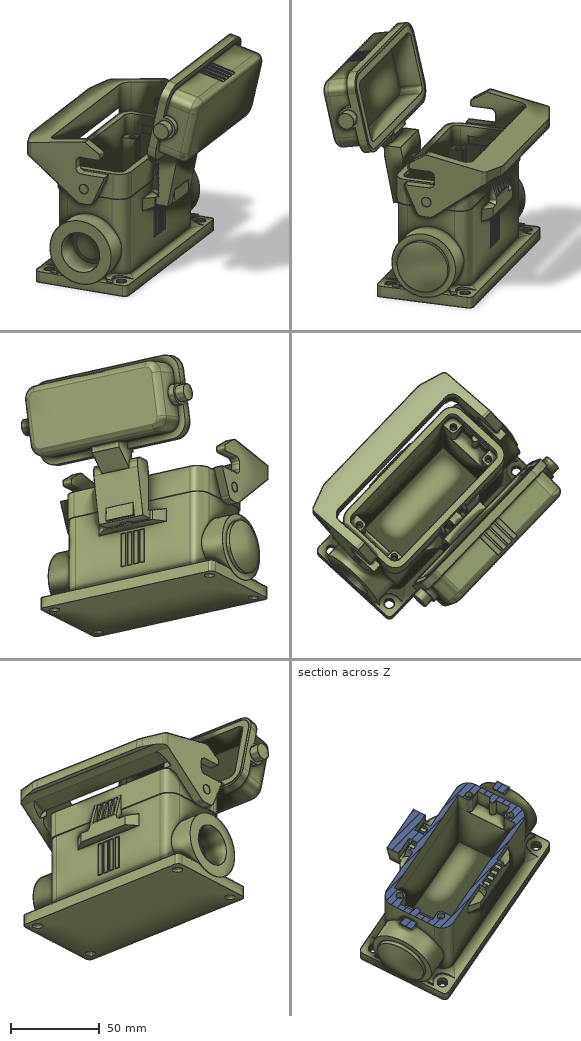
import cadquery as cq
import math


BASE_X, BASE_Y, BASE_H = 57.2, 116.9, 6.5
BASE_CORNER = 2.8
MOUNT_X, MOUNT_Y, MOUNT_R = 22.4, 52.3, 2.9
SPOTFACE_R = 5.5
RAMP_RISE, RAMP_RUN = 1.5, 7.6
RAMP_FOOT_Y, RAMP_EDGE_X, RAMP_END_Y = 38.3, 27.0, 56.7

BODY_X, BODY_Y = 43.5, 92.9
COLLAR_X, COLLAR_Y = 44.7, 93.6
BODY_CORNER = 7.8
COLLAR_Z, BODY_TOP = 52.6, 67.8
MOUTH_X, MOUTH_Y, MOUTH_CORNER = 37.0, 86.0, 4.3
LEDGE_Z, FLOOR_Z = 38.0, 3.8
LEDGE_Y = 35.4
CHAMBER_DRAFT = 2.0
POST_X, POST_TOP, POST_ROUND = 10.4, 55.7, 2.3
SCREW_X, SCREW_Y, SCREW_R, SCREW_DEPTH = 13.4, 38.6, 1.9, 10.1
RECESS_X, RECESS_Z, RECESS_H, RECESS_DEPTH = 19.2, 56.9, 5.0, 1.5
PEG_R, PEG_Y, PEG_TOP = 2.0, 42.4, 55.7

ENTRY_END, ENTRY_Z, ENTRY_R = 58.7, 22.3, 19.0
BORE_R, BORE_DEPTH = 11.9, 15.2
KNOCKOUT_R, KNOCKOUT_H = 9.1, 1.3
PLUG_R, PLUG_H, PLUG_TOTAL = 15.0, 2.2, 5.0

ROOT_OVERLAP = 1.3
GRIP_OUT = 26.3
GRIP_BAR_ROOT, GRIP_BAR_TIP = 22.8, 16.3
GRIP_BOTTOM, GRIP_TOP, GRIP_LIP_DROP = 38.3, 45.9, 1.0
WEDGE_HALF, WEDGE_BOTTOM, WEDGE_TOP, WEDGE_FLARE = 9.9, 48.1, 61.9, 2.8
SLOT_PITCH, SLOT_W, SLOT_COUNT = 4.2, 2.9, 4
GRIP_SLOT_Z, GRIP_SLOT_TOP = 48.8, 61.0
BODY_SLOT_Z, BODY_SLOT_H = 17.2, 19.6
SLOT_DEPTH = 0.5

ARM_OUT, ARM_IN = 54.5, 49.0
PIN_Z, PIN_R = 59.0, 2.8
PIN_RECESS = 0.3
LEVER_FRONT = -40.2
LEVER_TOE_X = 12.9
LEVER_BRIDGE_IN = -24.3
LEVER_BEVEL_X, LEVER_BEVEL_Y = 5.3, 15.3
LEVER_BOTTOM, LEVER_PEAK = 50.1, 87.3
LEVER_BEND = (-32.9, 72.9)
LEVER_BRIDGE_UNDER = 69.7
HEEL_BACK_X, HEEL_FRONT_X, HEEL_ROUND = -3.3, 4.8, 3.8
THROAT_X, THROAT_TOP, THROAT_ROUND = -4.8, 77.8, 3.3
HOOK_X, HOOK_TIP_TOP, HOOK_ROUND = 10.1, 81.2, 1.1
BEVEL_ROUND, LEVER_SIDE_ROUND = 11.4, 2.5
WINDOW_ROUND, RELIEF_ROUND = 5.0, 3.8

HINGE_W, LEAF_W, RIB_W = 29.6, 18.2, 6.6
HINGE_X = 27.8
RIB_TOP = 64.3
HINGE_BOTTOM, HINGE_TOP, HINGE_BACK_X, HINGE_ROUND = 40.1, 73.6, 39.0, 2.4
COVER_TILT = math.radians(12.8)
COVER_X = 40.6
FLANGE_Y, FLANGE_W, FLANGE_T, FLANGE_CORNER = 97.9, 47.8, 5.0, 9.6
CAP_INSET, CAP_DEPTH, CAP_CORNER, CAP_EDGE = 3.8, 22.1, 7.6, 3.8
POCKET_Y, POCKET_W, POCKET_CORNER, POCKET_DEPTH = 86.3, 36.2, 4.0, 13.3
SEAL_INSET, SEAL_H = 1.5, 0.3
STUD_U, STUD_R, STUD_BOSS_R = 7.5, 4.7, 6.1
COVER_SLOT_START, COVER_SLOT_END = 5.5, 20.9
TOTAL_H = 126.5


def box(x0, x1, y0, y1, z0, z1):
    return cq.Workplane("XY").box(x1 - x0, y1 - y0, z1 - z0, centered=False).translate((x0, y0, z0))


def rounded_block(size_x, size_y, z0, z1, radius):
    block = cq.Workplane("XY", origin=(0, 0, z0)).rect(size_x, size_y).extrude(z1 - z0)
    return block.edges("|Z").fillet(radius)


def side_profile(points, y0, y1):
    """Extrude an XZ outline from y0 to y1."""
    return cq.Workplane("XZ", origin=(0, y0, 0)).polyline(points).close().extrude(y0 - y1)


def y_cylinder(x, z, radius, y0, y1):
    return cq.Workplane("XZ", origin=(x, y0, z)).circle(radius).extrude(y0 - y1)


def on_both_sides(solid, plane):
    return solid.union(solid.mirror(plane))


def on_four_corners(solid):
    return on_both_sides(on_both_sides(solid, "YZ"), "XZ")


def fillet_across(solid, x0, x1, z0, z1, radius):
    """Round the full-width Y edges whose X and Z lie in the given ranges."""
    margin = 0.06
    ranges = cq.selectors.BoxSelector((x0 - margin, -margin, z0 - margin), (x1 + margin, margin, z1 + margin))
    return solid.edges("|Y").edges(ranges).fillet(radius)


def slot_centres():
    return [(i - (SLOT_COUNT - 1) / 2) * SLOT_PITCH for i in range(SLOT_COUNT)]


def make_base():
    plate = rounded_block(BASE_X, BASE_Y, 0, BASE_H, BASE_CORNER)
    foot = (BODY_X / 2, RAMP_FOOT_Y)
    edge = (RAMP_EDGE_X, BODY_Y / 2)
    angle = math.atan2(edge[1] - foot[1], edge[0] - foot[0])
    along = (math.cos(angle), math.sin(angle), 0)
    inward = (-along[1], along[0], 0)
    ramp = (
        cq.Workplane(cq.Plane(origin=(*foot, BASE_H), xDir=inward, normal=along))
        .polyline([(0, 0), (RAMP_RUN, RAMP_RISE), (2 * RAMP_RUN, RAMP_RISE), (2 * RAMP_RUN, 0)])
        .close()
        .extrude(BODY_Y)
        .intersect(box(0, BASE_X / 2, 0, RAMP_END_Y, 0, TOTAL_H))
    )
    spotface = cq.Workplane("XY", origin=(MOUNT_X, MOUNT_Y, BASE_H)).circle(SPOTFACE_R).extrude(RAMP_RISE)
    corner_flat = box(MOUNT_X, BASE_X / 2, BODY_Y / 2, BASE_Y / 2, BASE_H, BASE_H + RAMP_RISE)
    return plate.union(on_four_corners(ramp.cut(spotface).cut(corner_flat)))


def make_body():
    lower = rounded_block(BODY_X, BODY_Y, 0, COLLAR_Z, BODY_CORNER)
    collar = rounded_block(COLLAR_X, COLLAR_Y, COLLAR_Z, BODY_TOP, BODY_CORNER)
    return lower.union(collar)


def make_entries():
    barrel = y_cylinder(0, ENTRY_Z, ENTRY_R, BODY_Y / 2 - BODY_CORNER, ENTRY_END)
    rim_y = ENTRY_END + PLUG_H
    crown_y = ENTRY_END + PLUG_TOTAL
    rise = crown_y - rim_y
    dome_r = (PLUG_R**2 + rise**2) / (2 * rise)
    half_angle = math.asin(PLUG_R / dome_r) / 2
    mid_point = (dome_r * math.sin(half_angle), crown_y - dome_r * (1 - math.cos(half_angle)))
    plug = (
        cq.Workplane("XY", origin=(0, 0, ENTRY_Z))
        .moveTo(0, LEDGE_Y + BODY_CORNER)
        .lineTo(PLUG_R, LEDGE_Y + BODY_CORNER)
        .lineTo(PLUG_R, rim_y)
        .threePointArc(mid_point, (0, crown_y))
        .close()
        .revolve(360, (0, 0, 0), (0, 1, 0))
    )
    return on_both_sides(barrel, "XZ").union(plug)


def make_entry_bore():
    """Blind bore in the -Y entry, with a raised knockout disc on its bottom."""
    mouth_y = -ENTRY_END
    bottom_y = mouth_y + BORE_DEPTH
    bore = y_cylinder(0, ENTRY_Z, BORE_R, mouth_y, bottom_y)
    return bore.cut(y_cylinder(0, ENTRY_Z, KNOCKOUT_R, bottom_y - KNOCKOUT_H, bottom_y))


def make_cavity():
    mouth = rounded_block(MOUTH_X, MOUTH_Y, LEDGE_Z, BODY_TOP, MOUTH_CORNER)
    chamber = (
        cq.Workplane("XY", origin=(0, 0, LEDGE_Z))
        .rect(MOUTH_X, 2 * LEDGE_Y)
        .extrude(FLOOR_Z - LEDGE_Z, taper=CHAMBER_DRAFT)
    )
    post = box(POST_X, MOUTH_X / 2, LEDGE_Y, MOUTH_Y / 2, LEDGE_Z, POST_TOP)
    post = post.edges("|Z and <X and <Y").fillet(POST_ROUND)
    screw = cq.Workplane("XY", origin=(SCREW_X, SCREW_Y, POST_TOP)).circle(SCREW_R).extrude(-SCREW_DEPTH)
    recess_end = MOUTH_Y / 2 + RECESS_DEPTH
    recess = box(-RECESS_X / 2, RECESS_X / 2, -recess_end, recess_end, RECESS_Z, RECESS_Z + RECESS_H)
    peg = cq.Workplane("XY", origin=(0, PEG_Y, LEDGE_Z)).circle(PEG_R).extrude(PEG_TOP - LEDGE_Z)
    mouth = mouth.cut(on_four_corners(post)).cut(on_both_sides(peg, "XZ"))
    return mouth.union(chamber).union(on_four_corners(screw)).union(recess)


def make_grip():
    """Finger grip on the +X wall: a tapered bar with a slotted wedge above it."""
    root = BODY_X / 2 - ROOT_OVERLAP
    bar_plan = (
        cq.Workplane("XY")
        .polyline([
            (root, -GRIP_BAR_ROOT), (BODY_X / 2, -GRIP_BAR_ROOT), (GRIP_OUT, -GRIP_BAR_TIP),
            (GRIP_OUT, GRIP_BAR_TIP), (BODY_X / 2, GRIP_BAR_ROOT), (root, GRIP_BAR_ROOT),
        ])
        .close()
        .extrude(TOTAL_H)
    )
    bar_side = side_profile(
        [
            (root, GRIP_BOTTOM), (BODY_X / 2, GRIP_BOTTOM), (GRIP_OUT, GRIP_BOTTOM + GRIP_LIP_DROP),
            (GRIP_OUT, GRIP_TOP - GRIP_LIP_DROP), (BODY_X / 2, GRIP_TOP), (root, GRIP_TOP),
        ],
        -GRIP_BAR_ROOT, GRIP_BAR_ROOT,
    )
    flare_z = GRIP_TOP - GRIP_LIP_DROP
    flare_mid = WEDGE_FLARE * (1 - math.sqrt(0.5))
    flare_half = WEDGE_HALF + WEDGE_FLARE
    wedge_front = (
        cq.Workplane("YZ", origin=(root, 0, 0))
        .moveTo(-flare_half, flare_z)
        .threePointArc((-WEDGE_HALF - flare_mid, flare_z + flare_mid), (-WEDGE_HALF, flare_z + WEDGE_FLARE))
        .lineTo(-WEDGE_HALF, WEDGE_TOP)
        .lineTo(WEDGE_HALF, WEDGE_TOP)
        .lineTo(WEDGE_HALF, flare_z + WEDGE_FLARE)
        .threePointArc((WEDGE_HALF + flare_mid, flare_z + flare_mid), (flare_half, flare_z))
        .lineTo(flare_half, GRIP_BOTTOM + GRIP_LIP_DROP)
        .lineTo(-flare_half, GRIP_BOTTOM + GRIP_LIP_DROP)
        .close()
        .extrude(GRIP_OUT - root)
    )
    wedge_side = side_profile(
        [(root, GRIP_BOTTOM), (GRIP_OUT, GRIP_BOTTOM), (GRIP_OUT, WEDGE_BOTTOM),
         (COLLAR_X / 2, WEDGE_TOP), (root, WEDGE_TOP)],
        -flare_half, flare_half,
    )
    grip = bar_plan.intersect(bar_side).union(wedge_front.intersect(wedge_side))
    for y in slot_centres():
        grip = grip.cut(
            box(COLLAR_X / 2, GRIP_OUT, y - SLOT_W / 2, y + SLOT_W / 2, GRIP_SLOT_Z, GRIP_SLOT_TOP)
        )
    return grip


def make_body_slots():
    slots = cq.Workplane("XY")
    outer = BODY_X / 2
    for y in slot_centres():
        slots = slots.union(
            box(
                outer - SLOT_DEPTH, outer, y - SLOT_W / 2, y + SLOT_W / 2,
                BODY_SLOT_Z, BODY_SLOT_Z + BODY_SLOT_H,
            )
        )
    return on_both_sides(slots, "YZ")


def make_lever():
    """U-shaped locking lever with a hooked arm at each end, held on pins in the body."""
    outline = [
        (LEVER_FRONT, 80.5), (LEVER_FRONT, 75.2), (-37.2, 75.2), LEVER_BEND,
        (HEEL_BACK_X, LEVER_BOTTOM), (HEEL_FRONT_X, LEVER_BOTTOM), (LEVER_TOE_X, BODY_TOP),
        (THROAT_X, BODY_TOP), (THROAT_X, THROAT_TOP), (HOOK_X, THROAT_TOP), (HOOK_X, HOOK_TIP_TOP),
        (0.6, LEVER_PEAK), (-0.9, LEVER_PEAK),
    ]
    side = side_profile(outline, -ARM_OUT, ARM_OUT)
    side = fillet_across(side, HEEL_BACK_X, HEEL_FRONT_X, LEVER_BOTTOM, LEVER_BOTTOM, HEEL_ROUND)
    side = fillet_across(side, THROAT_X, THROAT_X, BODY_TOP, THROAT_TOP, THROAT_ROUND)
    side = fillet_across(side, HOOK_X, HOOK_X, THROAT_TOP, HOOK_TIP_TOP, HOOK_ROUND)

    plan_end = LEVER_TOE_X + ROOT_OVERLAP
    bevel_x = LEVER_FRONT + LEVER_BEVEL_X
    bevel_y = ARM_OUT - LEVER_BEVEL_Y
    plan = (
        cq.Workplane("XY")
        .polyline([
            (plan_end, -ARM_OUT), (bevel_x, -ARM_OUT), (LEVER_FRONT, -bevel_y),
            (LEVER_FRONT, bevel_y), (bevel_x, ARM_OUT), (plan_end, ARM_OUT),
        ])
        .close()
        .extrude(TOTAL_H)
        .edges("|Z and <X")
        .fillet(BEVEL_ROUND)
        .edges(cq.selectors.BoxSelector((bevel_x - 1.3, -ARM_OUT - 1.3, 0), (bevel_x + 1.3, ARM_OUT + 1.3, TOTAL_H)))
        .fillet(LEVER_SIDE_ROUND)
    )
    window = box(LEVER_BRIDGE_IN, plan_end, -ARM_IN, ARM_IN, 0, TOTAL_H).edges("|Z and <X")
    window = window.fillet(WINDOW_ROUND)
    relief = side_profile(
        [LEVER_BEND, (LEVER_BRIDGE_IN, LEVER_BRIDGE_UNDER), (LEVER_BRIDGE_IN, LEVER_BOTTOM),
         (LEVER_BEND[0], LEVER_BOTTOM)],
        -ARM_IN, ARM_IN,
    ).faces(">Z").edges("not |Y").fillet(RELIEF_ROUND)
    return side.intersect(plan).cut(window).cut(relief)


def make_pin():
    return y_cylinder(0, PIN_Z, PIN_R, MOUTH_Y / 2 + RECESS_DEPTH, ARM_OUT - PIN_RECESS)


def make_hinge():
    block = side_profile(
        [(GRIP_OUT, HINGE_BOTTOM), (33.5, HINGE_BOTTOM), (HINGE_BACK_X, 67.5), (HINGE_BACK_X, HINGE_TOP),
         (29.4, HINGE_TOP), (28.0, 67.7),
         (HINGE_X, GRIP_TOP - GRIP_LIP_DROP), (GRIP_OUT, GRIP_TOP - GRIP_LIP_DROP)],
        -HINGE_W / 2, HINGE_W / 2,
    ).edges("|Y and >Z and >X").fillet(HINGE_ROUND)
    rib = box(
        BODY_X / 2 - ROOT_OVERLAP, HINGE_X + ROOT_OVERLAP, -RIB_W / 2, RIB_W / 2,
        GRIP_BOTTOM + GRIP_LIP_DROP, RIB_TOP,
    )
    return block.union(rib)


def make_leaf():
    """Cover leaf rising out of the hinge block, with its stop lip below."""
    leaf = side_profile(
        [(34.8, 78.5), (36.8, 78.0), (36.5, 72.1), (38.0, 66.8), (39.1, 67.8),
         (49.2, 77.2), (49.8, 81.5), (43.0, 83.0), (36.6, 83.5)],
        -LEAF_W / 2, LEAF_W / 2,
    )
    lip = side_profile([(32.9, 40.9), (35.3, 40.9), (35.2, 48.3), (32.9, 48.3)], -LEAF_W / 2, LEAF_W / 2)
    return leaf.union(lip)


def make_cover():
    outward = (math.cos(COVER_TILT), 0, -math.sin(COVER_TILT))
    mouth_z = TOTAL_H - FLANGE_W / 2 * math.cos(COVER_TILT)
    plane = cq.Plane(origin=(COVER_X, 0, mouth_z), xDir=(0, 1, 0), normal=outward)

    flange = rounded_block(FLANGE_Y, FLANGE_W, 0, FLANGE_T, FLANGE_CORNER)
    cap_y = FLANGE_Y - 2 * CAP_INSET
    cap_w = FLANGE_W - 2 * CAP_INSET
    cap = rounded_block(cap_y, cap_w, 0, CAP_DEPTH, CAP_CORNER).faces(">Z").edges().fillet(CAP_EDGE)
    boss = (
        cq.Workplane("YZ", origin=(-FLANGE_Y / 2, 0, STUD_U)).circle(STUD_BOSS_R).extrude(FLANGE_Y)
        .union(box(-FLANGE_Y / 2, FLANGE_Y / 2, -STUD_BOSS_R, STUD_BOSS_R, FLANGE_T / 2, STUD_U))
        .intersect(box(-FLANGE_Y / 2, FLANGE_Y / 2, -STUD_BOSS_R, STUD_BOSS_R, FLANGE_T / 2, CAP_DEPTH))
    )
    seal_y = FLANGE_Y - 2 * SEAL_INSET
    seal_w = FLANGE_W - 2 * SEAL_INSET
    seal = rounded_block(seal_y, seal_w, -SEAL_H, 0, FLANGE_CORNER - SEAL_INSET)
    studs = cq.Workplane("YZ", origin=(-ARM_OUT, 0, STUD_U)).circle(STUD_R).extrude(2 * ARM_OUT)
    pocket = rounded_block(POCKET_Y, POCKET_W, -SEAL_H, POCKET_DEPTH, POCKET_CORNER)
    cover = flange.union(seal).union(cap).union(boss).union(studs).cut(pocket)
    for y in slot_centres():
        cover = cover.cut(
            box(
                y - SLOT_W / 2, y + SLOT_W / 2, cap_w / 2 - SLOT_DEPTH, cap_w / 2,
                COVER_SLOT_START, COVER_SLOT_END,
            )
        )
    return cq.Workplane(cover.val().moved(cq.Location(plane)))


housing = make_base().union(make_body()).union(make_entries())
housing = housing.union(on_both_sides(make_grip(), "YZ"))
housing = housing.cut(make_cavity()).cut(make_entry_bore()).cut(make_body_slots())
mount_hole = cq.Workplane("XY", origin=(MOUNT_X, MOUNT_Y, 0)).circle(MOUNT_R).extrude(BASE_H)
housing = housing.cut(on_four_corners(mount_hole))

arm_hole = y_cylinder(0, PIN_Z, PIN_R, ARM_IN, ARM_OUT)
lever = make_lever().cut(on_both_sides(arm_hole, "XZ"))

result = (
    housing.union(on_both_sides(make_pin(), "XZ"))
    .union(lever)
    .union(make_hinge())
    .union(make_leaf())
    .union(make_cover())
)